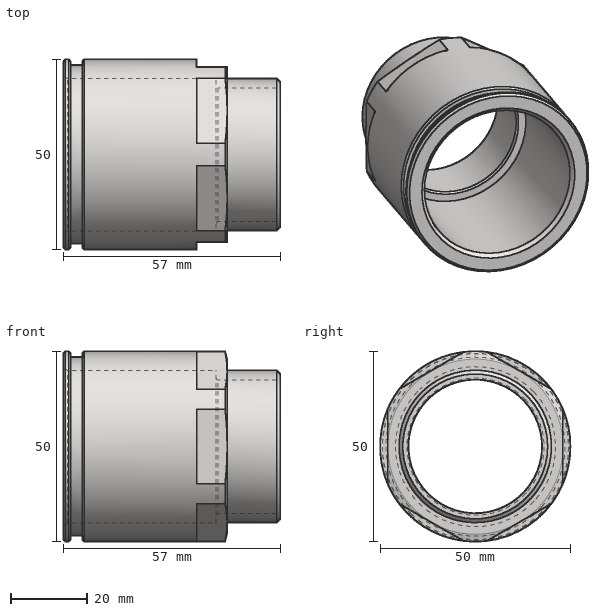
import cadquery as cq
import math

total_length = 57.0
rim_width = 2.0
groove_end = 5.0
flats_start = 35.0
body_end = 43.0
shoulder_depth = 40.0

body_diameter = 50.0
groove_diameter = 47.0
spigot_diameter = 40.0
socket_diameter = 40.0
bore_diameter = 35.0

flat_count = 6
across_flats = 46.0

rim_chamfer = 0.6
body_chamfer = 0.5
spigot_chamfer = 1.0
socket_mouth_chamfer = 1.0
bore_chamfer = 0.5
hex_chamfer_angle = 15.0
hex_chamfer_depth = (body_diameter - across_flats) / 2
hex_chamfer_length = hex_chamfer_depth * math.tan(math.radians(hex_chamfer_angle))


def cylinder(diameter, start, end):
    """Solid cylinder on the X axis between two X positions."""
    return cq.Workplane("YZ", origin=(start, 0, 0)).circle(diameter / 2).extrude(end - start)


def make_rim():
    """Collar with chamfered edges at the open end."""
    return cylinder(body_diameter, 0, rim_width).edges().chamfer(rim_chamfer)


def make_groove_core():
    """Neck that forms the floor of the groove between the rim and the body."""
    return cylinder(groove_diameter, rim_width / 2, groove_end + body_chamfer)


def make_body():
    """Main barrel: chamfered at the groove, with six wrench flats at the other end."""
    body = cylinder(body_diameter, groove_end, body_end)
    body = body.faces("<X").chamfer(body_chamfer)
    body = body.faces(">X").edges().chamfer(hex_chamfer_length, hex_chamfer_depth)
    return body.cut(make_flats_cutter())


def make_flats_cutter():
    """Ring around a hexagonal prism; one pair of flats faces +Y and -Y."""
    hexagon = (
        cq.Workplane("YZ", origin=(flats_start, 0, 0))
        .polygon(flat_count, across_flats, circumscribed=True)
        .extrude(body_end - flats_start)
    )
    return cylinder(2 * body_diameter, flats_start, body_end).cut(hexagon)


def make_spigot():
    """Smaller chamfered end piece beyond the wrench flats."""
    spigot = cylinder(spigot_diameter, body_end, total_length)
    return spigot.faces(">X").chamfer(spigot_chamfer)


def make_cavity():
    """Stepped passage: wide socket, shoulder, then the narrow through bore."""
    socket_radius = socket_diameter / 2
    bore_radius = bore_diameter / 2
    profile = [
        (0, 0),
        (0, socket_radius + socket_mouth_chamfer),
        (socket_mouth_chamfer, socket_radius),
        (shoulder_depth, socket_radius),
        (shoulder_depth, bore_radius + bore_chamfer),
        (shoulder_depth + bore_chamfer, bore_radius),
        (total_length, bore_radius),
        (total_length, 0),
    ]
    return cq.Workplane("XY").polyline(profile).close().revolve(360, (0, 0, 0), (1, 0, 0))


outside = make_rim().union(make_groove_core()).union(make_body()).union(make_spigot())
result = outside.cut(make_cavity())